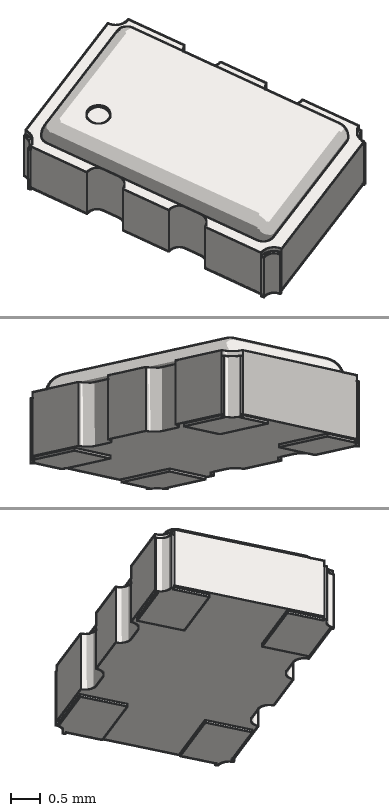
import cadquery as cq

length = 5.0
width = 3.2
total_height = 1.5
pad_thickness = 0.05
base_top = 1.15

notch_radius = 0.2
notch_length = 0.7
notch_offset = 0.8

plating_thickness = 0.05
base_corner_radius = notch_radius + plating_thickness
plating_gap = 0.1
plating_top = base_top - plating_gap
pad_inset = 0.05
pad_inner_x = 1.3
pad_inner_y = 0.7

lid_length = length - 2 * base_corner_radius
lid_width = width - 2 * notch_radius
lid_height = total_height - base_top
lid_edge_radius = 0.345
lid_corner_radius = 0.2

mark_diameter = 0.4
mark_depth = 0.05
mark_x = -1.48
mark_y = -0.67

CORNERS = [(sx, sy) for sx in (-1, 1) for sy in (-1, 1)]


def upright_cylinder(x, y, bottom, top, radius):
    """Vertical cylinder between two heights."""
    return cq.Workplane("XY", origin=(x, y, bottom)).circle(radius).extrude(top - bottom)


def make_base():
    """Ceramic block with round corner notches and two slots along each long side."""
    base_height = base_top - pad_thickness
    base = (
        cq.Workplane("XY", origin=(0, 0, pad_thickness))
        .rect(length, width)
        .extrude(base_height)
    )
    for sx, sy in CORNERS:
        corner_x = sx * length / 2
        edge_y = sy * width / 2
        base = base.cut(
            upright_cylinder(corner_x, edge_y, pad_thickness, base_top, base_corner_radius)
        )
        side_slot = (
            cq.Workplane("XY", origin=(sx * notch_offset, edge_y, pad_thickness))
            .slot2D(notch_length, 2 * notch_radius)
            .extrude(base_height)
        )
        base = base.cut(side_slot)
    return base


def make_lid():
    """Lid with rounded top edges, softened mitres and the round mark."""
    lid = (
        cq.Workplane("XY", origin=(0, 0, base_top))
        .rect(lid_length, lid_width)
        .extrude(lid_height)
        .faces(">Z")
        .edges()
        .fillet(lid_edge_radius)
    )
    for sx, sy in CORNERS:
        corner_block = cq.selectors.BoxSelector(
            (sx * (lid_length / 2 - lid_height), sy * (lid_width / 2 - lid_height), base_top),
            (sx * lid_length / 2, sy * lid_width / 2, total_height),
        )
        lid = lid.edges(corner_block).fillet(lid_corner_radius)
    mark = upright_cylinder(
        mark_x, mark_y, total_height - mark_depth, total_height, mark_diameter / 2
    )
    return lid.cut(mark)


def make_terminal(sx, sy):
    """Pad and corner plating of the terminal at the corner with signs sx, sy."""
    corner_x = sx * length / 2
    corner_y = sy * width / 2
    outer_x = length / 2 - pad_inset
    outer_y = width / 2 - pad_inset
    pad_center = (sx * (outer_x + pad_inner_x) / 2, sy * (outer_y + pad_inner_y) / 2)
    pad = (
        cq.Workplane("XY")
        .center(*pad_center)
        .rect(outer_x - pad_inner_x, outer_y - pad_inner_y)
        .extrude(pad_thickness)
    )
    inside_outline = cq.Workplane("XY").rect(length, width).extrude(plating_top)
    plating = upright_cylinder(corner_x, corner_y, 0, plating_top, base_corner_radius)
    plating = plating.intersect(inside_outline)
    notch = upright_cylinder(corner_x, corner_y, 0, plating_top, notch_radius)
    return pad.union(plating).cut(notch)


base = make_base()
lid = make_lid()
terminals = [make_terminal(sx, sy) for sx, sy in CORNERS]

result = cq.Compound.makeCompound(
    [base.val(), lid.val(), *[terminal.val() for terminal in terminals]]
)